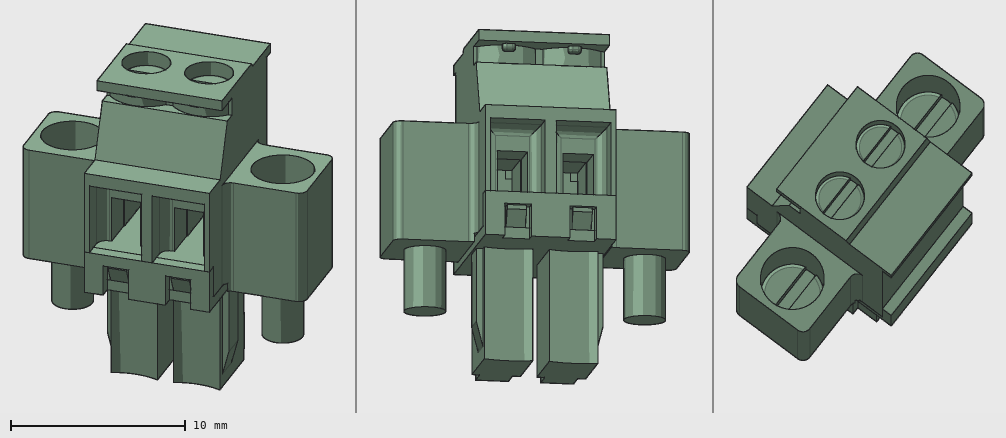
import cadquery as cq

TOTAL_HEIGHT = 19.1
BODY_WIDTH = 7.6
BODY_DEPTH = 10.4
POLE_X = 1.91
SCREW_Y = 0.05

WALL_BACK = 4.56
LIP_BACK = -4.47
HOUSING_BOTTOM = 7.22
SILL_Z = 9.15
SHOULDER_Z = 14.2
SHOULDER_BACK = -3.38
LEDGE_Z = 17.38
LEDGE_FRONT = -2.15
PLATE_FRONT = -3.05
PLATE_FRONT_UNDERSIDE = 18.47
PLATE_BACK_UNDERSIDE = 18.28
PLATE_BACK_TOP = 18.85
PLATE_STEP_FRONT = 1.95
PLATE_STEP_BACK = 2.2
UNDERCUT_BACK = -1.38
BOSS_RADIUS = 2.35
BOSS_Y = 0.25
STUD_WIDTH = 0.75
STUD_FRONT = -2.54
STUD_BACK = -1.95
STUD_HEIGHT = 0.38
STUD_CORNER_ROUND = 0.21
STUD_END_ROUND = 0.17

EAR_SPAN = 17.23
EAR_DEPTH = 5.18
EAR_BOTTOM = 6.72
EAR_TOP = 13.68
EAR_ROUND = 0.5
EAR_CLEARANCE = 0.2
FLANGE_SCREW_SPACING = 12.78

FUNNEL_WIDTH = 3.17
FUNNEL_TOP = 13.43
FUNNEL_DEPTH = 1.81
FUNNEL_ROUND = 0.6
WIRE_HOLE_WIDTH = 1.75
WIRE_HOLE_TOP = 11.94
HOOK_WIDTH = 1.13
HOOK_RAMP_TOP = 8.2
HOOK_REACH = 0.42

BASE_BOTTOM = 6.57
BASE_POLE_X = 1.9
BASE_WINDOW_WIDTH = 1.55
BASE_WINDOW_TOP = 8.45
PLUG_WIDTH = 2.83
PLUG_BACK = 2.06
PLUG_FRONT = -2.05
PLUG_HOLLOW_RADIUS = 3.82
CATCH_WIDTH = 1.91
CATCH_BACK = 3.42
CATCH_TOP = 2.3
RIB_BACK = -0.04
RIB_FRONT = -1.59
RIB_HEIGHT = 0.38
RIB_TAPER_TOP = 2.3
RIB_TAPER_BOTTOM = 0.82

CLAMP_HEAD_DIAMETER = 2.8
CLAMP_HEAD_TOP = 18.3
CLAMP_HEAD_HEIGHT = 1.15
CLAMP_HEAD_ROUND = 0.2
CLAMP_SLOT_WIDTH = 0.6
CLAMP_SLOT_DEPTH = 0.57
CLAMP_SHANK_DIAMETER = 1.75

FLANGE_HEAD_DIAMETER = 3.65
FLANGE_HEAD_TOP = 9.85
FLANGE_HEAD_HEIGHT = 1.53
FLANGE_HEAD_ROUND = 0.23
FLANGE_SLOT_WIDTH = 0.76
FLANGE_SLOT_DEPTH = 0.76
FLANGE_SHANK_DIAMETER = 2.4
FLANGE_SHANK_BOTTOM = 3.13

CAGE_WALL = 0.05
CAGE_ROOF = 0.76
CAGE_DEPTH = 2.79
CONTACT_THICKNESS = 0.29
CONTACT_SHOULDER_Z = 11.45
CONTACT_NECK_LEFT = 0.8
CONTACT_NECK_RIGHT = 0.44

HALF_WIDTH = BODY_WIDTH / 2
BODY_FRONT = -BODY_DEPTH / 2
BODY_BACK = BODY_DEPTH / 2
FLANGE_SCREW_X = FLANGE_SCREW_SPACING / 2
CLAMP_HEAD_SEAT = CLAMP_HEAD_TOP - CLAMP_HEAD_HEIGHT
FLANGE_HEAD_SEAT = FLANGE_HEAD_TOP - FLANGE_HEAD_HEIGHT
SIDES = (-1, 1)
FUNNEL_BACK = BODY_FRONT + FUNNEL_DEPTH
CAGE_TOP = WIRE_HOLE_TOP + CAGE_ROOF
CAGE_FRONT = SCREW_Y - CAGE_DEPTH / 2
CAGE_BACK = SCREW_Y + CAGE_DEPTH / 2
CONTACT_BACK = CAGE_BACK + CONTACT_THICKNESS


def block(x_range, y_range, z_range):
    """Box between three pairs of limits."""
    (x0, x1), (y0, y1), (z0, z1) = x_range, y_range, z_range
    return cq.Workplane("XY").box(x1 - x0, y1 - y0, z1 - z0, centered=False).translate((x0, y0, z0))


def centred_block(x, width, y_range, z_range):
    """Box of a given width about x."""
    return block((x - width / 2, x + width / 2), y_range, z_range)


def rod(x, y, diameter, bottom, top):
    """Vertical cylinder."""
    return cq.Workplane("XY", origin=(x, y, bottom)).circle(diameter / 2).extrude(top - bottom)


def side_extrusion(points, x, width):
    """Closed (Y, Z) outline extruded along X to a given width about x."""
    return cq.Workplane("YZ", origin=(x - width / 2, 0, 0)).polyline(points).close().extrude(width)


def slotted_screw(x, diameter, top, height, rim_round, slot_width, slot_depth, shank_diameter, shank_bottom):
    """Cylinder-head screw with a rounded rim and a slot along X."""
    head_bottom = top - height
    head = rod(x, SCREW_Y, diameter, head_bottom, top).faces(">Z").fillet(rim_round)
    slot = centred_block(
        x, diameter, (SCREW_Y - slot_width / 2, SCREW_Y + slot_width / 2), (top - slot_depth, top)
    )
    return head.cut(slot).union(rod(x, SCREW_Y, shank_diameter, shank_bottom, head_bottom))


def housing_core():
    outline = [
        (PLATE_FRONT, TOTAL_HEIGHT),
        (PLATE_STEP_FRONT, TOTAL_HEIGHT),
        (PLATE_STEP_BACK, PLATE_BACK_TOP),
        (BODY_BACK, PLATE_BACK_TOP),
        (BODY_BACK, PLATE_BACK_UNDERSIDE),
        (WALL_BACK, PLATE_BACK_UNDERSIDE),
        (WALL_BACK, HOUSING_BOTTOM),
        (LIP_BACK, HOUSING_BOTTOM),
        (LIP_BACK, SILL_Z),
        (BODY_FRONT, SILL_Z),
        (BODY_FRONT, SHOULDER_Z),
        (SHOULDER_BACK, SHOULDER_Z),
        (LEDGE_FRONT, LEDGE_Z),
        (UNDERCUT_BACK, LEDGE_Z),
        (UNDERCUT_BACK, PLATE_FRONT_UNDERSIDE),
        (PLATE_FRONT, PLATE_FRONT_UNDERSIDE),
    ]
    return side_extrusion(outline, 0, BODY_WIDTH)


def undercut_boss(x):
    """Bulge around a screw that fills part of the gap below the top plate."""
    bulge = rod(x, BOSS_Y, 2 * BOSS_RADIUS, LEDGE_Z, PLATE_FRONT_UNDERSIDE)
    gap = centred_block(
        x, 2 * POLE_X, (LEDGE_FRONT, UNDERCUT_BACK), (LEDGE_Z, PLATE_FRONT_UNDERSIDE)
    )
    return bulge.intersect(gap)


def undercut_stud(x):
    """Rounded stud that hangs from the top plate in front of a boss."""
    z_range = (PLATE_FRONT_UNDERSIDE - STUD_HEIGHT, PLATE_FRONT_UNDERSIDE)
    stud = centred_block(x, STUD_WIDTH, (STUD_FRONT, STUD_BACK), z_range)
    return stud.edges("|Z").fillet(STUD_CORNER_ROUND).faces("<Z").edges().fillet(STUD_END_ROUND)


def flange_ears():
    """Both ears as one slab through the body, with rounded corners and rounded roots."""
    y_range = (SCREW_Y - EAR_DEPTH / 2, SCREW_Y + EAR_DEPTH / 2)
    z_range = (EAR_BOTTOM, EAR_TOP)
    ears = centred_block(0, EAR_SPAN, y_range, z_range).edges("|Z").fillet(EAR_ROUND)
    root_y_range = (y_range[0] - 2 * EAR_ROUND, y_range[1] + 2 * EAR_ROUND)
    roots = centred_block(0, BODY_WIDTH, root_y_range, z_range)
    concave_corners = cq.selectors.BoxSelector(
        (-HALF_WIDTH - EAR_ROUND, y_range[0] - EAR_ROUND, EAR_BOTTOM),
        (HALF_WIDTH + EAR_ROUND, y_range[1] + EAR_ROUND, EAR_TOP),
    )
    ears = ears.union(roots).edges("|Z").edges(concave_corners).fillet(EAR_ROUND)
    body_room = block((-HALF_WIDTH, HALF_WIDTH), root_y_range, z_range)
    base_room = centred_block(
        0, BODY_WIDTH + 2 * EAR_CLEARANCE, (BODY_FRONT, BODY_BACK), (EAR_BOTTOM, HOUSING_BOTTOM)
    )
    return ears.cut(body_room).cut(base_room)


def wire_funnel(x):
    """Front pocket whose side and top edges are rounded at its back wall."""
    pocket = centred_block(x, FUNNEL_WIDTH, (BODY_FRONT, FUNNEL_BACK), (SILL_Z, FUNNEL_TOP))
    return pocket.edges(">Y").edges("|Z or >Z").fillet(FUNNEL_ROUND)


def latch_hook(x):
    """Ramped hook on the lower front wall that snaps into a base window."""
    outline = [
        (LIP_BACK, BASE_WINDOW_TOP),
        (LIP_BACK - HOOK_REACH, BASE_WINDOW_TOP),
        (LIP_BACK - HOOK_REACH, HOOK_RAMP_TOP),
        (LIP_BACK, HOUSING_BOTTOM),
    ]
    return side_extrusion(outline, x, HOOK_WIDTH)


def build_housing(inserts):
    """Housing with a pocket for every body that it holds."""
    housing = housing_core().union(flange_ears())
    for side in SIDES:
        x = side * POLE_X
        housing = housing.union(undercut_boss(x)).union(undercut_stud(x)).union(latch_hook(x))
        housing = housing.cut(wire_funnel(x))
        wire_hole = centred_block(x, WIRE_HOLE_WIDTH, (FUNNEL_BACK, CAGE_BACK), (SILL_Z, WIRE_HOLE_TOP))
        screw_bore = rod(x, SCREW_Y, CLAMP_HEAD_DIAMETER, CLAMP_HEAD_SEAT, TOTAL_HEIGHT)
        flange_bore = rod(side * FLANGE_SCREW_X, SCREW_Y, FLANGE_HEAD_DIAMETER, FLANGE_HEAD_SEAT, EAR_TOP)
        housing = housing.cut(wire_hole).cut(screw_bore).cut(flange_bore)
    for insert in inserts:
        housing = housing.cut(insert)
    return housing


def plug(side):
    """Leg with a hollow front, a catch at its back and a tapered rib on its outer side."""
    x = side * BASE_POLE_X
    half_width = PLUG_WIDTH / 2
    leg = centred_block(x, PLUG_WIDTH, (PLUG_FRONT, PLUG_BACK), (0, BASE_BOTTOM))
    hollow_y = PLUG_FRONT - (PLUG_HOLLOW_RADIUS**2 - half_width**2) ** 0.5
    leg = leg.cut(rod(x, hollow_y, 2 * PLUG_HOLLOW_RADIUS, 0, BASE_BOTTOM))
    catch = centred_block(x, CATCH_WIDTH, (PLUG_BACK, CATCH_BACK), (0, CATCH_TOP))
    outer_x = x + side * half_width
    rib = (
        cq.Workplane("XZ", origin=(0, RIB_BACK, 0))
        .moveTo(outer_x, RIB_TAPER_BOTTOM)
        .lineTo(outer_x + side * RIB_HEIGHT, RIB_TAPER_TOP)
        .lineTo(outer_x + side * RIB_HEIGHT, BASE_BOTTOM)
        .lineTo(outer_x, BASE_BOTTOM)
        .close()
        .extrude(RIB_BACK - RIB_FRONT)
    )
    return leg.union(catch).union(rib)


def build_base():
    outline = [
        (BODY_FRONT, BASE_BOTTOM),
        (BODY_BACK, BASE_BOTTOM),
        (BODY_BACK, SILL_Z),
        (WALL_BACK, SILL_Z),
        (WALL_BACK, HOUSING_BOTTOM),
        (LIP_BACK, HOUSING_BOTTOM),
        (LIP_BACK, SILL_Z),
        (BODY_FRONT, SILL_Z),
    ]
    base = side_extrusion(outline, 0, BODY_WIDTH)
    for side in SIDES:
        window = centred_block(
            side * BASE_POLE_X, BASE_WINDOW_WIDTH, (BODY_FRONT, LIP_BACK), (BASE_BOTTOM, BASE_WINDOW_TOP)
        )
        base = base.cut(window).union(plug(side))
    return base


def build_clamp_screw(side):
    return slotted_screw(
        side * POLE_X, CLAMP_HEAD_DIAMETER, CLAMP_HEAD_TOP, CLAMP_HEAD_HEIGHT, CLAMP_HEAD_ROUND,
        CLAMP_SLOT_WIDTH, CLAMP_SLOT_DEPTH, CLAMP_SHANK_DIAMETER, CAGE_TOP,
    )


def build_flange_screw(side):
    return slotted_screw(
        side * FLANGE_SCREW_X, FLANGE_HEAD_DIAMETER, FLANGE_HEAD_TOP, FLANGE_HEAD_HEIGHT, FLANGE_HEAD_ROUND,
        FLANGE_SLOT_WIDTH, FLANGE_SLOT_DEPTH, FLANGE_SHANK_DIAMETER, FLANGE_SHANK_BOTTOM,
    )


def build_cage(side):
    """Arch with thin side walls below a thick roof, open to front and back."""
    x = side * POLE_X
    y_range = (CAGE_FRONT, CAGE_BACK)
    arch = centred_block(x, WIRE_HOLE_WIDTH, y_range, (SILL_Z, CAGE_TOP))
    passage = centred_block(x, WIRE_HOLE_WIDTH - 2 * CAGE_WALL, y_range, (SILL_Z, WIRE_HOLE_TOP))
    return arch.cut(passage)


def build_contact(side):
    """Upright plate behind the cage with an off-centre neck at its top."""
    x = side * BASE_POLE_X
    y_range = (CAGE_BACK, CONTACT_BACK)
    plate = centred_block(x, WIRE_HOLE_WIDTH, y_range, (HOUSING_BOTTOM, CONTACT_SHOULDER_Z))
    neck = block(
        (x - CONTACT_NECK_LEFT, x + CONTACT_NECK_RIGHT), y_range, (CONTACT_SHOULDER_Z, WIRE_HOLE_TOP)
    )
    return plate.union(neck)


clamp_screws = [build_clamp_screw(side) for side in SIDES]
flange_screws = [build_flange_screw(side) for side in SIDES]
cages = [build_cage(side) for side in SIDES]
contacts = [build_contact(side) for side in SIDES]
small_parts = clamp_screws + flange_screws + cages + contacts
housing = build_housing(small_parts)
base = build_base()

result = cq.Compound.makeCompound([housing.val(), base.val(), *[part.val() for part in small_parts]])